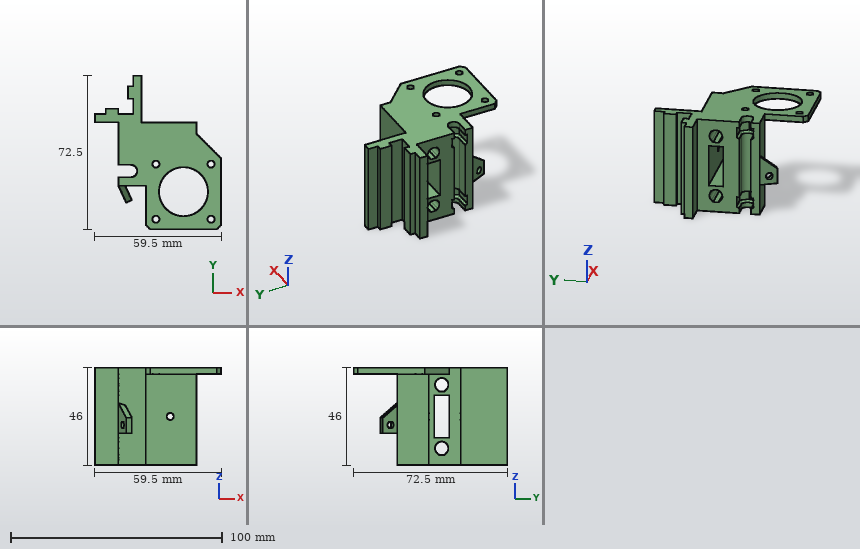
import cadquery as cq
import math

total_height = 46.0
plate_thickness = 3.0
mid_height = total_height / 2
plate_bottom = total_height - plate_thickness

plate_right = 59.5
plate_width = 35.5
plate_left = plate_right - plate_width
plate_corner_chamfer = 2.0
motor_x = plate_right - plate_width / 2
motor_y = plate_width / 2
motor_bore_diameter = 23.0
motor_screw_spacing = 26.0
screw_diameter = 3.2

rail_length = 22.0
rail_thickness = 4.0
pad_depth = 2.5
pad_width = 6.0
pad_end_gap = 5.0
rail_front = 50.5
rail_back = rail_front + rail_length

body_left = 11.0
body_right = 48.0
body_front = 20.5
wall_thickness = 15.0
wall_front = rail_front - wall_thickness
diagonal_cut = plate_right - body_right
diagonal_start_y = plate_width - plate_corner_chamfer

window_y = 41.5
window_width = 7.0
window_height = 20.0
side_bore_diameter = 6.2
side_bore_spacing = 30.0

cross_hole_x = 35.5

rod_x = 17.0
rod_y = 27.5
rod_diameter = 5.7
nut_across_flats = 8.1
nut_pocket_height = 4.6
nut_taper_height = 1.0
upper_pocket_top = plate_bottom
lower_pocket_top = 8.1

tab_angle = 25.0
tab_length = 8.8
tab_thickness = 3.0
tab_bottom = 15.0
tab_tip_height = 7.4
tab_root_height = 14.4
tab_hole_reach = 4.8
tab_hole_z = 19.0

cut_margin = 1.0


def box(x_range, y_range, z_range):
    """Axis-aligned block between the given limits."""
    size = [high - low for low, high in (x_range, y_range, z_range)]
    corner = (x_range[0], y_range[0], z_range[0])
    return cq.Workplane("XY").box(*size, centered=False).translate(corner)


def make_rail():
    """L-shaped rail with one raised pad on the inner side of each leg."""
    full = (0, total_height)
    inner_x = rail_length - rail_thickness
    inner_y = rail_front + rail_thickness
    rail = box((0, rail_length), (rail_front, inner_y), full)
    rail = rail.union(box((inner_x, rail_length), (rail_front, rail_back), full))
    pad_x = (pad_end_gap, pad_end_gap + pad_width)
    rail = rail.union(box(pad_x, (inner_y, inner_y + pad_depth), full))
    pad_y = (rail_back - pad_end_gap - pad_width, rail_back - pad_end_gap)
    return rail.union(box((inner_x - pad_depth, inner_x), pad_y, full))


def make_body():
    """Rod clamp block and the back wall under the top plate."""
    full = (0, total_height)
    clamp = box((body_left, plate_left), (body_front, rail_front), full)
    wall = box((plate_left, body_right), (wall_front, rail_front), full)
    return clamp.union(wall)


def make_top_plate():
    """Motor plate with its bore and four screw holes."""
    outline = [
        (plate_left + plate_corner_chamfer, 0),
        (plate_right - plate_corner_chamfer, 0),
        (plate_right, plate_corner_chamfer),
        (plate_right, diagonal_start_y),
        (body_right, diagonal_start_y + diagonal_cut),
        (body_right, rail_front),
        (plate_left, rail_front),
        (plate_left, plate_corner_chamfer),
    ]
    plate = cq.Workplane("XY").workplane(offset=plate_bottom).polyline(outline).close()
    plate = plate.extrude(plate_thickness)
    motor_plane = cq.Workplane("XY", origin=(motor_x, motor_y, plate_bottom))
    bore = motor_plane.circle(motor_bore_diameter / 2).extrude(plate_thickness)
    screw_square = motor_plane.rect(motor_screw_spacing, motor_screw_spacing, forConstruction=True)
    screws = screw_square.vertices().circle(screw_diameter / 2).extrude(plate_thickness)
    return plate.cut(bore).cut(screws)


def make_tab():
    """Angled ear with a sloping top edge and a screw hole through it."""
    side = [
        (0, tab_bottom),
        (-tab_length, tab_bottom),
        (-tab_length, tab_bottom + tab_tip_height),
        (0, tab_bottom + tab_root_height),
    ]
    tab = cq.Workplane("YZ").polyline(side).close().extrude(tab_thickness)
    hole = cq.Workplane("YZ").center(-tab_hole_reach, tab_hole_z).circle(screw_diameter / 2)
    tab = tab.cut(hole.extrude(tab_thickness))
    tab = tab.rotate((0, 0, 0), (0, 0, 1), tab_angle)
    return tab.translate((body_left, body_front, 0))


def make_window_cuts():
    """Belt window and two flat-bottomed bores, all running along X."""
    length = body_right - body_left
    plane = cq.Workplane("YZ", origin=(body_left, window_y, mid_height))
    cuts = plane.rect(window_width, window_height).extrude(length)
    radius = side_bore_diameter / 2
    diagonal = radius * math.sqrt(0.5)
    flat = radius * math.tan(math.pi / 8)
    for side in (-1, 1):
        bore = (
            plane.center(0, side * side_bore_spacing / 2)
            .moveTo(-diagonal, -diagonal)
            .threePointArc((0, radius), (diagonal, -diagonal))
            .lineTo(flat, -radius)
            .lineTo(-flat, -radius)
            .close()
            .extrude(length)
        )
        cuts = cuts.union(bore)
    return cuts


def make_cross_hole():
    """Screw hole along Y through the back wall."""
    plane = cq.Workplane("XZ", origin=(cross_hole_x, rail_front, mid_height))
    return plane.circle(screw_diameter / 2).extrude(wall_thickness)


def make_nut_pocket(top):
    """Hexagonal pocket open to -X, tapering down to the rod channel below it."""
    hex_bottom = top - nut_pocket_height
    taper_bottom = hex_bottom - nut_taper_height
    corner_radius = nut_across_flats / 2 / math.cos(math.pi / 6)
    rod_radius = rod_diameter / 2

    def around(radius, angle, z):
        return cq.Vector(rod_x + radius * math.cos(angle), rod_y + radius * math.sin(angle), z)

    hex_edges = []
    rod_edges = []
    for index in range(6):
        start = index * math.pi / 3
        middle = start + math.pi / 6
        end = start + math.pi / 3
        hex_points = [around(corner_radius, angle, hex_bottom) for angle in (start, end)]
        hex_edges.append(cq.Edge.makeLine(*hex_points))
        rod_points = [around(rod_radius, angle, taper_bottom) for angle in (start, middle, end)]
        rod_edges.append(cq.Edge.makeThreePointArc(*rod_points))
    hexagon = cq.Wire.assembleEdges(hex_edges)
    rod_circle = cq.Wire.assembleEdges(rod_edges)
    taper = cq.Workplane(cq.Solid.makeLoft([hexagon, rod_circle], True))
    nut = cq.Workplane(cq.Solid.extrudeLinear(hexagon, [], cq.Vector(0, 0, nut_pocket_height)))

    half_nut = nut_across_flats / 2
    mouth_profile = [
        (-half_nut, top),
        (half_nut, top),
        (half_nut, hex_bottom),
        (rod_radius, taper_bottom),
        (-rod_radius, taper_bottom),
        (-half_nut, hex_bottom),
    ]
    mouth_start = body_left - cut_margin
    mouth = cq.Workplane("YZ", origin=(mouth_start, rod_y, 0)).polyline(mouth_profile).close()
    return mouth.extrude(rod_x - mouth_start).union(nut).union(taper)


def make_rod_channel():
    """Vertical round-ended channel open to -X, with two nut pockets."""
    mouth_start = body_left - cut_margin
    rod_radius = rod_diameter / 2
    channel = cq.Workplane("XY").center(rod_x, rod_y).circle(rod_radius).extrude(total_height)
    mouth_y = (rod_y - rod_radius, rod_y + rod_radius)
    channel = channel.union(box((mouth_start, rod_x), mouth_y, (0, total_height)))
    for top in (upper_pocket_top, lower_pocket_top):
        channel = channel.union(make_nut_pocket(top))
    return channel


bracket = make_body().union(make_rail()).union(make_top_plate())
bracket = bracket.union(make_tab())
bracket = bracket.cut(make_window_cuts())
bracket = bracket.cut(make_cross_hole())
result = bracket.cut(make_rod_channel())